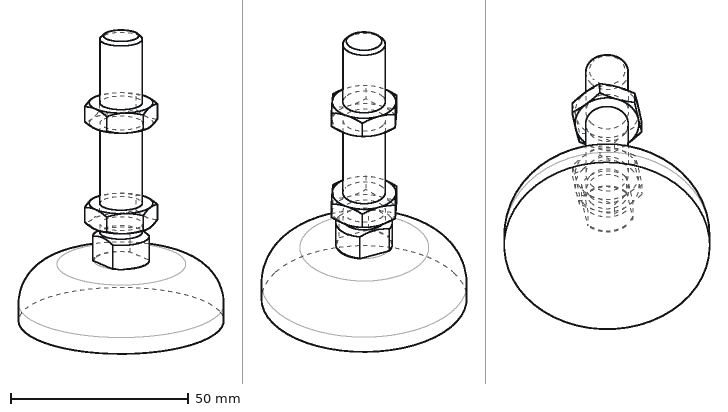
import cadquery as cq
import math

base_radius = 29.0
rim_height = 5.0
shoulder_radius = 12.0
cone_angle = math.radians(5.7)
seat_radius = 7.7
shoulder_end_angle = math.pi / 2 - cone_angle
shoulder_center_radius = base_radius - shoulder_radius
shoulder_end_radius = shoulder_center_radius + shoulder_radius * math.cos(shoulder_end_angle)
shoulder_end_height = rim_height + shoulder_radius * math.sin(shoulder_end_angle)
seat_height = shoulder_end_height + (shoulder_end_radius - seat_radius) * math.tan(cone_angle)

collar_radius = 8.0
collar_bottom = seat_height
collar_flat_width = 13.0
collar_edge_height = 25.2
collar_chamfer_angle = math.radians(30)

stud_radius = 6.0
stud_top = 85.0
stud_chamfer = 1.0

nut_width = 18.0
nut_height = 6.0
nut_bottoms = (29.0, 59.0)
nut_chamfer_angle = math.radians(30)


def make_base():
    """Foot with a straight rim, a rounded shoulder and a slightly conical top."""
    mid_angle = shoulder_end_angle / 2
    shoulder_middle = (
        shoulder_center_radius + shoulder_radius * math.cos(mid_angle),
        rim_height + shoulder_radius * math.sin(mid_angle),
    )
    shoulder_end = (shoulder_end_radius, shoulder_end_height)
    profile = (
        cq.Workplane("XZ")
        .lineTo(base_radius, 0)
        .lineTo(base_radius, rim_height)
        .threePointArc(shoulder_middle, shoulder_end)
        .lineTo(seat_radius, seat_height)
        .lineTo(0, seat_height)
        .close()
    )
    return profile.revolve(360, (0, 0, 0), (0, 1, 0))


def make_collar():
    """Round collar chamfered at the top, with flats facing -Y and +Y."""
    chamfer_width = collar_radius - stud_radius
    collar_top = collar_edge_height + chamfer_width * math.tan(collar_chamfer_angle)
    profile = (
        cq.Workplane("XZ")
        .moveTo(0, collar_bottom)
        .lineTo(collar_radius, collar_bottom)
        .lineTo(collar_radius, collar_edge_height)
        .lineTo(stud_radius, collar_top)
        .lineTo(0, collar_top)
        .close()
    )
    collar = profile.revolve(360, (0, 0, 0), (0, 1, 0))
    flats = (
        cq.Workplane("XY")
        .workplane(offset=collar_bottom)
        .rect(2 * collar_radius, collar_flat_width)
        .extrude(collar_top - collar_bottom)
    )
    return collar.intersect(flats)


def make_stud():
    """Plain stud rising from the collar, chamfered at its free end."""
    return (
        cq.Workplane("XY")
        .workplane(offset=collar_bottom)
        .circle(stud_radius)
        .extrude(stud_top - collar_bottom)
        .faces(">Z")
        .chamfer(stud_chamfer)
    )


def make_nut(bottom):
    """Hexagon nut with corners on the X axis, conically chamfered on both faces."""
    corner_radius = nut_width / math.sqrt(3)
    face_radius = nut_width / 2
    corner_drop = (corner_radius - face_radius) * math.tan(nut_chamfer_angle)
    top = bottom + nut_height
    hexagon = (
        cq.Workplane("XY")
        .workplane(offset=bottom)
        .polygon(6, 2 * corner_radius)
        .extrude(nut_height)
    )
    envelope = (
        cq.Workplane("XZ")
        .moveTo(0, bottom)
        .lineTo(face_radius, bottom)
        .lineTo(corner_radius, bottom + corner_drop)
        .lineTo(corner_radius, top - corner_drop)
        .lineTo(face_radius, top)
        .lineTo(0, top)
        .close()
        .revolve(360, (0, 0, 0), (0, 1, 0))
    )
    return hexagon.intersect(envelope)


result = make_base().union(make_collar()).union(make_stud())
for nut_bottom in nut_bottoms:
    result = result.union(make_nut(nut_bottom))